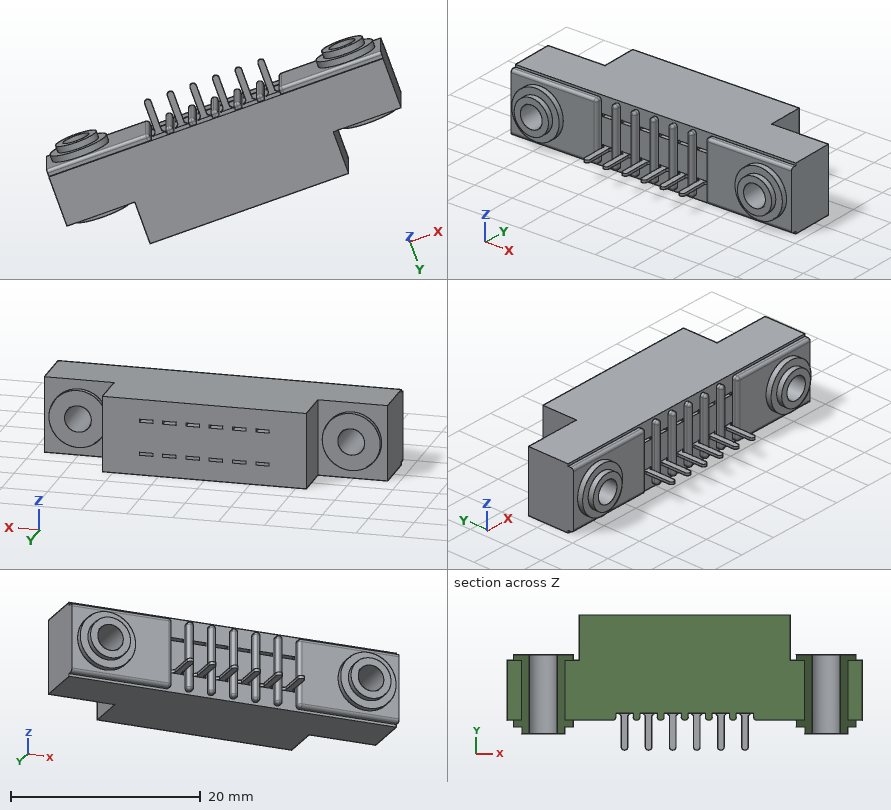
import cadquery as cq


HOUSING_LENGTH = 37.47
HOUSING_HEIGHT = 8.4
EAR_DEPTH = 5.62
BLOCK_LENGTH = 22.25
BLOCK_DEPTH = 10.38

RELIEF_HEIGHT = 0.75
RELIEF_INSET = 0.3
RELIEF_SPAN = HOUSING_HEIGHT - 2 * RELIEF_INSET
RIB_WIDTH = 0.75
RELIEF_ROUND = 0.37

CONTACT_COUNT = 6
CONTACT_SPAN = 12.7
PITCH = CONTACT_SPAN / (CONTACT_COUNT - 1)
ROW_OFFSET = 1.85
SLOT_WIDTH = 1.45
SLOT_HEIGHT = 0.35
CONTACT_POSITIONS = [i * PITCH - CONTACT_SPAN / 2 for i in range(CONTACT_COUNT)]
RIB_POSITIONS = [x + PITCH / 2 for x in CONTACT_POSITIONS[:-1]]

TERMINAL_WIDTH = 0.7
TERMINAL_REACH = 3.9
SHOULDER_REACH = 0.25
SHOULDER_RUN = (SLOT_WIDTH - TERMINAL_WIDTH) / 2

BUSHING_OFFSET = 14.9
BUSHING_BORE = 2.92
SHANK_DIAMETER = 4.57
FLANGE_DIAMETER = 6.35
FRONT_FLANGE = 0.7
REAR_FLANGE = 0.55
SHANK_REACH = 2.17

PAD_INNER_END = CONTACT_COUNT / 2 * PITCH - RIB_WIDTH / 2
PAD_LENGTH = HOUSING_LENGTH / 2 - PAD_INNER_END
PAD_CENTER = PAD_INNER_END + PAD_LENGTH / 2


def box_along_y(x, z, width, height, y_front, y_rear):
    """Block centred on (x, z) that runs from y_front back to y_rear."""
    return (
        cq.Workplane("XY")
        .box(width, y_rear - y_front, height)
        .translate((x, (y_front + y_rear) / 2, z))
    )


def cylinder_along_y(x, diameter, y_front, y_rear):
    """Cylinder at mid-height that runs from y_front back to y_rear."""
    return (
        cq.Workplane("XZ", origin=(x, y_rear, 0))
        .circle(diameter / 2)
        .extrude(y_rear - y_front)
    )


def make_pad(side):
    """Mounting pad, rounded on its long front edges and all around its inner end."""
    inner_end = "<X" if side > 0 else ">X"
    pad = box_along_y(side * PAD_CENTER, 0, PAD_LENGTH, RELIEF_SPAN, -RELIEF_HEIGHT, 0)
    front_edges = pad.faces("<Y").edges("|X")
    inner_edges = pad.faces(inner_end).edges("not >Y")
    return front_edges.add(inner_edges).fillet(RELIEF_ROUND)


def make_rib(x):
    """Separating rib, rounded everywhere but where it meets the terminal face."""
    rib = box_along_y(x, 0, RIB_WIDTH, RELIEF_SPAN, -RELIEF_HEIGHT, 0)
    front_edges = rib.faces("<Y").edges()
    corner_edges = rib.edges("|Y")
    return front_edges.add(corner_edges).fillet(RELIEF_ROUND)


def make_housing():
    ears = box_along_y(0, 0, HOUSING_LENGTH, HOUSING_HEIGHT, 0, EAR_DEPTH)
    block = box_along_y(0, 0, BLOCK_LENGTH, HOUSING_HEIGHT, 0, BLOCK_DEPTH)
    housing = ears.union(block)
    for side in (-1, 1):
        housing = housing.union(make_pad(side))
        shank_hole = cylinder_along_y(side * BUSHING_OFFSET, SHANK_DIAMETER, -RELIEF_HEIGHT, EAR_DEPTH)
        housing = housing.cut(shank_hole)
    for x in RIB_POSITIONS:
        housing = housing.union(make_rib(x))
    for x in CONTACT_POSITIONS:
        for z in (-ROW_OFFSET, ROW_OFFSET):
            slot = box_along_y(x, z, SLOT_WIDTH, SLOT_HEIGHT, 0, BLOCK_DEPTH)
            housing = housing.cut(slot)
    return housing


def make_contact(x):
    """Flat contact that fills its lower slot and narrows to a round-tipped terminal."""
    half_slot = SLOT_WIDTH / 2
    half_terminal = TERMINAL_WIDTH / 2
    shoulder_front = -SHOULDER_REACH
    shoulder_rear = shoulder_front + SHOULDER_RUN
    tip_start = -TERMINAL_REACH + half_terminal
    return (
        cq.Workplane("XY", origin=(x, 0, -ROW_OFFSET - SLOT_HEIGHT / 2))
        .moveTo(-half_slot, BLOCK_DEPTH)
        .lineTo(-half_slot, shoulder_rear)
        .lineTo(-half_terminal, shoulder_front)
        .lineTo(-half_terminal, tip_start)
        .threePointArc((0, -TERMINAL_REACH), (half_terminal, tip_start))
        .lineTo(half_terminal, shoulder_front)
        .lineTo(half_slot, shoulder_rear)
        .lineTo(half_slot, BLOCK_DEPTH)
        .close()
        .extrude(SLOT_HEIGHT)
    )


def make_bushing(x):
    """Bored shank with a flange clamping each side of the mounting ear."""
    pad_front = -RELIEF_HEIGHT
    rear_end = EAR_DEPTH + REAR_FLANGE
    shank = cylinder_along_y(x, SHANK_DIAMETER, -SHANK_REACH, rear_end)
    front_flange = cylinder_along_y(x, FLANGE_DIAMETER, pad_front - FRONT_FLANGE, pad_front)
    rear_flange = cylinder_along_y(x, FLANGE_DIAMETER, EAR_DEPTH, rear_end)
    bore = cylinder_along_y(x, BUSHING_BORE, -SHANK_REACH, rear_end)
    return shank.union(front_flange).union(rear_flange).cut(bore)


housing = make_housing()
contacts = [make_contact(x) for x in CONTACT_POSITIONS]
bushings = [make_bushing(side * BUSHING_OFFSET) for side in (-1, 1)]

result = cq.Compound.makeCompound(
    [body.solids().val() for body in [housing, *contacts, *bushings]]
)